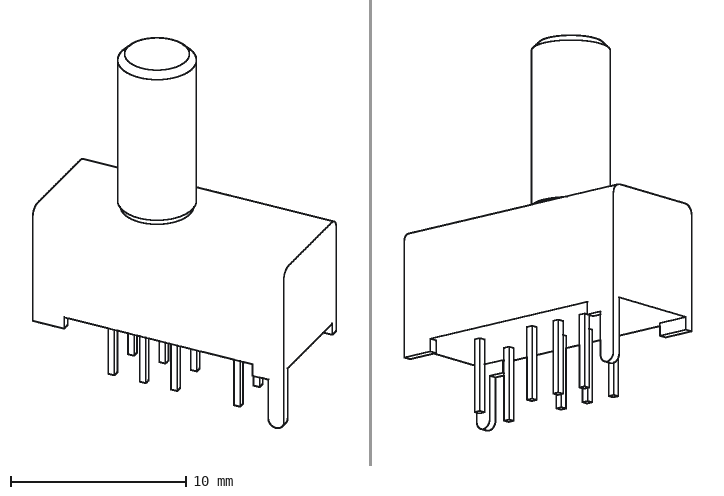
import cadquery as cq

body_length = 16.0
body_width = 6.7
body_height = 6.7
top_edge_radius = 0.6

actuator_x = -1.75
actuator_diameter = 4.5
actuator_height = 10.0
actuator_chamfer = 0.4
neck_diameter = 4.2
neck_height = 0.35

plate_thickness = 0.5
shoulder_length = 2.0
shoulder_drop = 0.75
leg_width = 1.0
leg_drop = 3.8

pin_size = 0.4
pin_drop = 4.3
pin_columns = (-4.0, -2.0, 0.0, 4.0)
pin_row_pitch = 2.5
pin_row_offset = 0.125
pin_rows = (pin_row_offset - pin_row_pitch / 2, pin_row_offset + pin_row_pitch / 2)


def make_housing():
    """Block with its two long top edges rounded."""
    block = cq.Workplane("XY").box(body_length, body_width, body_height, centered=(True, True, False))
    return block.edges("|X and >Z").fillet(top_edge_radius)


def make_actuator():
    """Chamfered shaft carried on a slightly thinner neck."""
    neck = (
        cq.Workplane("XY", origin=(actuator_x, 0, body_height))
        .circle(neck_diameter / 2)
        .extrude(neck_height)
    )
    shaft = (
        cq.Workplane("XY", origin=(actuator_x, 0, body_height + neck_height))
        .circle(actuator_diameter / 2)
        .extrude(actuator_height - neck_height)
        .faces(">Z")
        .chamfer(actuator_chamfer)
    )
    return neck.union(shaft)


def make_front_plate_feet():
    """Shoulders at both ends of the -Y side, with a round-ended leg at the +X end."""
    end_x = body_length / 2
    plate_y = -body_width / 2 + plate_thickness
    leg_inner_x = end_x - leg_width
    leg_round_z = -leg_drop + leg_width / 2
    plate = cq.Workplane("XZ", origin=(0, plate_y, 0))
    plain_shoulder = (
        plate.moveTo(-end_x, 0)
        .lineTo(-end_x, -shoulder_drop)
        .lineTo(-end_x + shoulder_length, -shoulder_drop)
        .lineTo(-end_x + shoulder_length, 0)
        .close()
        .extrude(plate_thickness)
    )
    shoulder_with_leg = (
        plate.moveTo(end_x, 0)
        .lineTo(end_x, leg_round_z)
        .threePointArc((end_x - leg_width / 2, -leg_drop), (leg_inner_x, leg_round_z))
        .lineTo(leg_inner_x, -shoulder_drop)
        .lineTo(end_x - shoulder_length, -shoulder_drop)
        .lineTo(end_x - shoulder_length, 0)
        .close()
        .extrude(plate_thickness)
    )
    return plain_shoulder, shoulder_with_leg


def make_pins():
    """Square terminal pins hanging from the underside."""
    pin_places = [(x, y) for x in pin_columns for y in pin_rows]
    return cq.Workplane("XY").pushPoints(pin_places).rect(pin_size, pin_size).extrude(-pin_drop)


result = make_housing().union(make_actuator()).union(make_pins())
for foot in make_front_plate_feet():
    result = result.union(foot).union(foot.rotate((0, 0, 0), (0, 0, 1), 180))